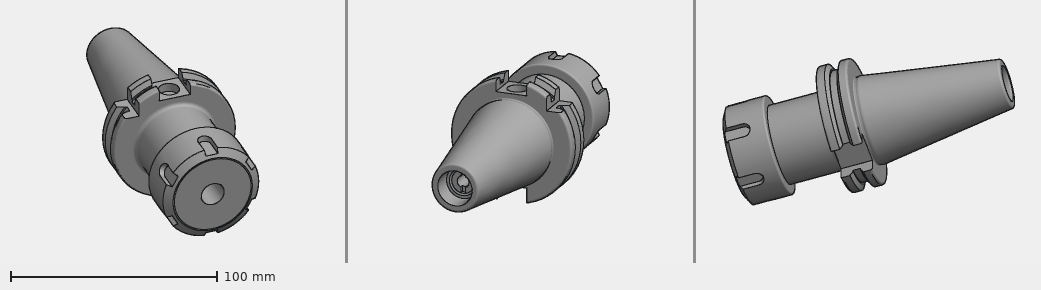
import cadquery as cq
import math


TAPER_SLOPE = 7 / 24 / 2
GAUGE_RADIUS = 22.3
GAUGE_X = 68.5
TAIL_ROUND = 1.2

COLLAR_END_X = 69.2
RELIEF_START_X = 70.2
RELIEF_RADIUS = 22.0
RELIEF_FILLET = 0.4

FLANGE_X = 71.4
FLANGE_WIDTH = 16.0
FLANGE_DIAMETER = 63.5
FLANGE_REAR_ROUND = 1.2
FLANGE_FRONT_ROUND = 1.0
GROOVE_FLOOR_WIDTH = 3.7
GROOVE_MOUTH_WIDTH = 6.9
GROOVE_FLOOR_RADIUS = 28.1
GROOVE_WALL_ANGLE = 60

SLOT_WIDTH = 16.0
TOP_SLOT_FLOOR = 24.9
BOTTOM_SLOT_FLOOR = 22.7
NOTCH_OFFSET = 18.5
DIMPLE_DIAMETER = 10.2
DIMPLE_DEPTH = 4.5

SHANK_RADIUS = 19.9
SHANK_FILLET = 2.0

MOUTH_RADIUS = 8.7
MOUTH_CONE_RISE = 0.3
MOUTH_ENTRY_LENGTH = 1.0
MOUTH_WALL_END_X = 8.5
MOUTH_FLOOR_X = 9.7
COUNTERSINK_RADIUS = 6.9
COUNTERSINK_DEPTH = 0.5

SCREW_RADIUS = 6.0
SCREW_LENGTH = 13.8
SCREW_HOLE_DIAMETER = 6.1
SCREW_SLOT_WIDTH = 2.4
SCREW_SLOT_DEPTH = 2.1

LENGTH = 138.4
NUT_X = 116.0
NUT_RADIUS = 24.9
NUT_REAR_ROUND = 1.0
NUT_CONE_X = 135.9
NUT_FACE_RADIUS = 20.6
WRENCH_SLOT_COUNT = 6
WRENCH_SLOT_WIDTH = 7.0
WRENCH_SLOT_X = 124.3
WRENCH_SLOT_FLOOR = 22.1
WRENCH_SLOT_DRAFT = 10

FLANGE_END_X = FLANGE_X + FLANGE_WIDTH
FLANGE_CENTRE_X = FLANGE_X + FLANGE_WIDTH / 2
FLANGE_RADIUS = FLANGE_DIAMETER / 2
TAIL_RADIUS = GAUGE_RADIUS - GAUGE_X * TAPER_SLOPE
SCREW_X = MOUTH_FLOOR_X + COUNTERSINK_DEPTH
EDGE_MARGIN = 0.01


def turn(profile):
    """Revolve a closed (x, radius) profile about the tool axis."""
    return profile.close().revolve(360, (0, 0, 0), (1, 0, 0))


def tube(x_start, x_end, radius):
    """Cylinder on the tool axis between two X positions."""
    return cq.Workplane("YZ", origin=(x_start, 0, 0)).circle(radius).extrude(x_end - x_start)


def rounded_edge(body, x, radius, size):
    """Fillet the outermost circular edge lying at the given X position."""
    low = (x - EDGE_MARGIN, -radius - EDGE_MARGIN, -radius - EDGE_MARGIN)
    high = (x + EDGE_MARGIN, radius + EDGE_MARGIN, radius + EDGE_MARGIN)
    edges_at_x = body.edges(cq.selectors.BoxSelector(low, high, boundingbox=True))
    return edges_at_x.edges(cq.selectors.RadiusNthSelector(-1)).fillet(size)


def holder_blank():
    """Turned outside of the holder: taper, collar, relief, flange and shank."""
    profile = (
        cq.Workplane("XY")
        .lineTo(0, TAIL_RADIUS)
        .lineTo(GAUGE_X, GAUGE_RADIUS)
        .lineTo(COLLAR_END_X, GAUGE_RADIUS)
        .lineTo(RELIEF_START_X, RELIEF_RADIUS)
        .lineTo(FLANGE_X - RELIEF_FILLET, RELIEF_RADIUS)
        .radiusArc((FLANGE_X, RELIEF_RADIUS + RELIEF_FILLET), -RELIEF_FILLET)
        .lineTo(FLANGE_X, FLANGE_RADIUS)
        .lineTo(FLANGE_END_X, FLANGE_RADIUS)
        .lineTo(FLANGE_END_X, SHANK_RADIUS + SHANK_FILLET)
        .radiusArc((FLANGE_END_X + SHANK_FILLET, SHANK_RADIUS), -SHANK_FILLET)
        .lineTo(LENGTH, SHANK_RADIUS)
        .lineTo(LENGTH, 0)
    )
    blank = turn(profile)
    blank = rounded_edge(blank, 0, TAIL_RADIUS, TAIL_ROUND)
    blank = rounded_edge(blank, FLANGE_X, FLANGE_RADIUS, FLANGE_REAR_ROUND)
    return rounded_edge(blank, FLANGE_END_X, FLANGE_RADIUS, FLANGE_FRONT_ROUND)


def gripper_groove():
    """Ring cut from the flange: straight-walled floor opening into sloped walls."""
    half_floor = GROOVE_FLOOR_WIDTH / 2
    half_mouth = GROOVE_MOUTH_WIDTH / 2
    slope_rise = (half_mouth - half_floor) * math.tan(math.radians(GROOVE_WALL_ANGLE))
    slope_radius = FLANGE_RADIUS - slope_rise
    profile = (
        cq.Workplane("XY")
        .moveTo(FLANGE_CENTRE_X - half_mouth, FLANGE_RADIUS)
        .lineTo(FLANGE_CENTRE_X - half_floor, slope_radius)
        .lineTo(FLANGE_CENTRE_X - half_floor, GROOVE_FLOOR_RADIUS)
        .lineTo(FLANGE_CENTRE_X + half_floor, GROOVE_FLOOR_RADIUS)
        .lineTo(FLANGE_CENTRE_X + half_floor, slope_radius)
        .lineTo(FLANGE_CENTRE_X + half_mouth, FLANGE_RADIUS)
    )
    return turn(profile)


def flange_block(y_range, z_range):
    """Box across the whole flange width, used as a cutter."""
    return cq.Workplane("XY").box(
        FLANGE_WIDTH, y_range[1] - y_range[0], z_range[1] - z_range[0], centered=False
    ).translate((FLANGE_X, y_range[0], z_range[0]))


def flange_cuts():
    """Driving slots at top and bottom, corner notch and dimple in the top slot."""
    half_slot = SLOT_WIDTH / 2
    top_slot = flange_block((-half_slot, half_slot), (TOP_SLOT_FLOOR, FLANGE_RADIUS))
    bottom_slot = flange_block((-half_slot, half_slot), (-FLANGE_RADIUS, -BOTTOM_SLOT_FLOOR))
    notch = flange_block((-FLANGE_RADIUS, -NOTCH_OFFSET), (NOTCH_OFFSET, FLANGE_RADIUS))
    dimple = (
        cq.Workplane("XY", origin=(FLANGE_CENTRE_X, 0, TOP_SLOT_FLOOR))
        .circle(DIMPLE_DIAMETER / 2)
        .extrude(-DIMPLE_DEPTH)
    )
    return [top_slot, bottom_slot, notch, dimple]


def holder_bore():
    """Stepped bore through the holder, from coned mouth to screw bore."""
    profile = (
        cq.Workplane("XY")
        .lineTo(0, MOUTH_RADIUS + MOUTH_CONE_RISE)
        .lineTo(MOUTH_ENTRY_LENGTH, MOUTH_RADIUS)
        .lineTo(MOUTH_WALL_END_X, MOUTH_RADIUS)
        .lineTo(MOUTH_FLOOR_X, MOUTH_RADIUS - MOUTH_CONE_RISE)
        .lineTo(MOUTH_FLOOR_X, COUNTERSINK_RADIUS)
        .lineTo(SCREW_X, SCREW_RADIUS)
        .lineTo(LENGTH, SCREW_RADIUS)
        .lineTo(LENGTH, 0)
    )
    return turn(profile)


def make_holder():
    body = holder_blank().cut(gripper_groove())
    for cutter in flange_cuts():
        body = body.cut(cutter)
    return body.cut(holder_bore())


def make_stop_screw():
    """Headless screw with a through hole and a driver slot in its rear face."""
    screw = tube(SCREW_X, SCREW_X + SCREW_LENGTH, SCREW_RADIUS)
    screw = screw.cut(tube(SCREW_X, SCREW_X + SCREW_LENGTH, SCREW_HOLE_DIAMETER / 2))
    driver_slot = cq.Workplane("XY").box(
        SCREW_SLOT_DEPTH, SCREW_SLOT_WIDTH, 2 * SCREW_RADIUS, centered=(False, True, True)
    )
    return screw.cut(driver_slot.translate((SCREW_X, 0, 0)))


def wrench_slot():
    """Flat-floored slot at the top of the nut, round at the rear and open at the front."""
    half_width = WRENCH_SLOT_WIDTH / 2
    round_x = WRENCH_SLOT_X + half_width
    open_x = LENGTH + half_width
    return (
        cq.Workplane("XY", origin=(0, 0, NUT_RADIUS))
        .moveTo(open_x, half_width)
        .lineTo(round_x, half_width)
        .threePointArc((WRENCH_SLOT_X, 0), (round_x, -half_width))
        .lineTo(open_x, -half_width)
        .close()
        .extrude(WRENCH_SLOT_FLOOR - NUT_RADIUS, taper=WRENCH_SLOT_DRAFT)
    )


def make_nut():
    """Ring around the front of the shank, coned at the front, with wrench slots."""
    profile = (
        cq.Workplane("XY")
        .moveTo(NUT_X, SHANK_RADIUS)
        .lineTo(NUT_X, NUT_RADIUS - NUT_REAR_ROUND)
        .radiusArc((NUT_X + NUT_REAR_ROUND, NUT_RADIUS), NUT_REAR_ROUND)
        .lineTo(NUT_CONE_X, NUT_RADIUS)
        .lineTo(LENGTH, NUT_FACE_RADIUS)
        .lineTo(LENGTH, SHANK_RADIUS)
    )
    body = turn(profile)
    for index in range(WRENCH_SLOT_COUNT):
        angle = index * 360 / WRENCH_SLOT_COUNT
        body = body.cut(wrench_slot().rotate((0, 0, 0), (1, 0, 0), angle))
    return body


holder = make_holder()
stop_screw = make_stop_screw()
nut = make_nut()

result = cq.Compound.makeCompound([holder.val(), stop_screw.val(), nut.val()])